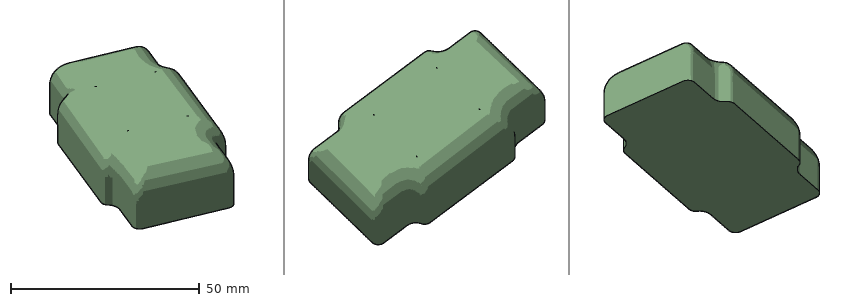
import cadquery as cq
import math

length = 60.5
width = 35.9
height = 18.5

notch_depth = 3.3
flank_start = 10.45
flank_radius = 3.55

top_radius = 9.5
corner_radius = 2.25

half_length = length / 2
half_width = width / 2
end_half_width = half_width - notch_depth

flank_center_x = half_length - flank_start
flank_center_y = end_half_width + flank_radius
sweep = math.acos((flank_center_y - half_width) / flank_radius)


def flank_point(angle):
    """Point on the +X +Y flank, at an angle from its start on the notch floor."""
    return (
        flank_center_x - flank_radius * math.sin(angle),
        flank_center_y - flank_radius * math.cos(angle),
    )


flank_begin = flank_point(0)
flank_middle = flank_point(sweep / 2)
flank_end = flank_point(sweep)


def mirrored(point, side_x, side_y):
    return (point[0] * side_x, point[1] * side_y)


def sharp_outline():
    """Closed outline with the four notches and sharp convex corners."""
    outline = cq.Workplane("XY").moveTo(half_length, -end_half_width)
    for side in (1, -1):
        outline = (
            outline.lineTo(side * half_length, side * end_half_width)
            .lineTo(*mirrored(flank_begin, side, side))
            .threePointArc(mirrored(flank_middle, side, side), mirrored(flank_end, side, side))
            .lineTo(*mirrored(flank_end, -side, side))
            .threePointArc(mirrored(flank_middle, -side, side), mirrored(flank_begin, -side, side))
            .lineTo(-side * half_length, side * end_half_width)
        )
    return outline.close()


body = sharp_outline().extrude(height).faces(">Z").edges().fillet(top_radius)

upright_corners = cq.Workplane("XY")
for side_x in (1, -1):
    for side_y in (1, -1):
        for corner in ((half_length, end_half_width), flank_end):
            x, y = mirrored(corner, side_x, side_y)
            middle = (x, y, (height - top_radius) / 2)
            upright_corners = upright_corners.add(body.edges(cq.NearestToPointSelector(middle)))

result = body.newObject(upright_corners.vals()).fillet(corner_radius)